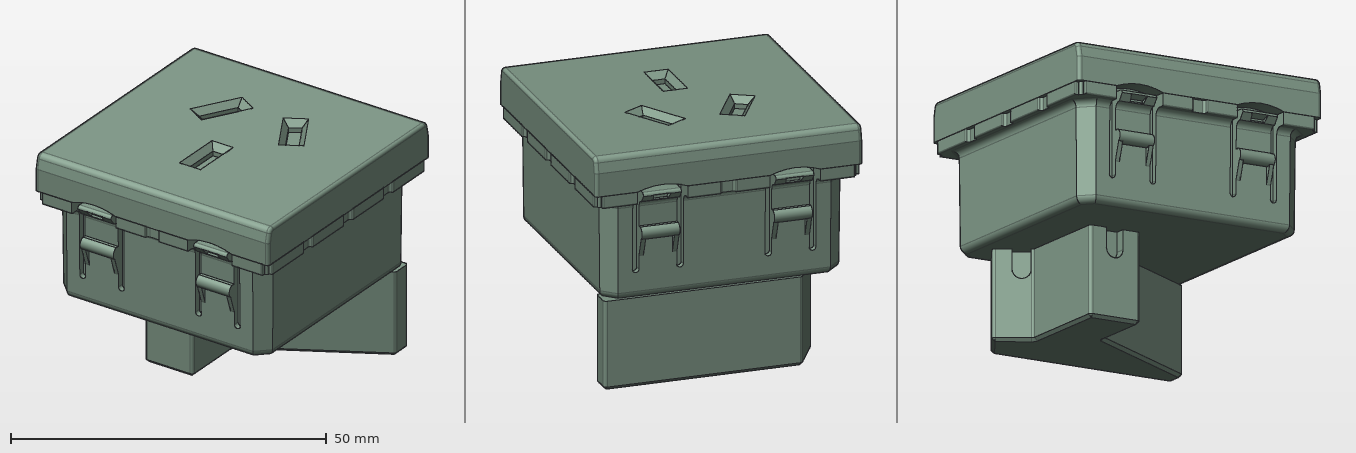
import cadquery as cq
import math

HEIGHT = 40.4
SKIRT_BOTTOM = 15.08
FLANGE_BOTTOM = 31.8
LID_BOTTOM = 33.95

LID_HALF = 22.5
LID_SIDE_ROUND = 0.6
BEVEL_START = 37.9
BEVEL_TOP_HALF = 21.95
LID_FRONT_ROUND = 1.05

FLANGE_HALF = 22.4
CORE_HALF = 21.75
CORE_CORNER_ROUND = 0.35
CORNER_NOTCH = 1.2
NOTCH_HALF_WIDTH = 1.25
NOTCH_ROOT_ROUND = 0.4
BLOCK_END_ROUND = 0.2
CLIP_X = 11.15

SKIRT_TOP_HALF = 20.3
SKIRT_BOTTOM_HALF = 20.1
SKIRT_CORNER_CHAMFER = 2.35
SKIRT_NECK_ROUND = 1.12
SKIRT_BOTTOM_ROUND = 1.15

TONGUE_HALF = 3.2
CLIP_HALF = 4.28
POCKET_FLOOR = 19.12
POCKET_ARCH_TOP = 34.75
CLIP_SLOT_BOTTOM = 19.45
LIP_TOP = 33.52
LIP_TIP = 22.3
LIP_ROUND = 0.55
LIP_RECESS_TOP = 33.05
LIP_RECESS_FLOOR_TOP = 32.55
LIP_RECESS_BOTTOM = 32.0
LIP_RECESS_TOP_HALF = 1.5
LIP_RECESS_BOTTOM_HALF = 1.25
LIP_RECESS_FLOOR = 20.92
BARB_TOP = 27.3
BARB_TIP = 21.6
BARB_ROUND = 0.75
BARB_BAR_BOTTOM = 25.2
GUSSET_BOTTOM = 22.0
GUSSET_WIDTH = 0.75

PIN_LENGTH = 9.1
PIN_WIDTH = 4.05
PIN_TAPER_DEPTH = 1.12
PIN_INNER_LENGTH = 6.85
PIN_INNER_WIDTH = 2.15
PIN_INNER_DEPTH = 0.8
EARTH_Y = -7.25
LIVE_X = 6.95
LIVE_Y = 7.05
LIVE_TILT = 30

LEG_LEFT = -11.5
LEG_RIGHT = -2.25
LEG_FRONT = -7.75
WING_ROOT_Y = 9.65
WING_TILT = 30
WING_LENGTH = 6.6
BLOCK_BACK = 19.9
BLOCK_RIGHT = 20.1
RIGHT_WING_ROOT_Y = 3.6
BLOCK_EDGE_ROUND = 0.55
BLOCK_BOTTOM_CHAMFER = 0.55
WINDOW_WIDTH = 3.0
WINDOW_BOTTOM = 10.25
WINDOW_DEPTH = 1.8
LEG_WINDOW_X = -6.98
WING_WINDOW_OFFSET = 1.9


def make_lid():
    side_profile = [
        (-LID_HALF, LID_BOTTOM),
        (LID_HALF, LID_BOTTOM),
        (LID_HALF, BEVEL_START),
        (BEVEL_TOP_HALF, HEIGHT),
        (-BEVEL_TOP_HALF, HEIGHT),
        (-LID_HALF, BEVEL_START),
    ]
    lid = cq.Workplane("YZ").polyline(side_profile).close().extrude(LID_HALF, both=True)
    lid = lid.faces(">Z").edges("|X").fillet(LID_FRONT_ROUND)
    return lid.faces("<X or >X").edges("not <Z").fillet(LID_SIDE_ROUND)


def make_flange():
    height = LID_BOTTOM - FLANGE_BOTTOM
    base = cq.Workplane("XY", origin=(0, 0, FLANGE_BOTTOM))
    flange = base.rect(2 * FLANGE_HALF, 2 * FLANGE_HALF).extrude(height)

    corners = base.rect(2 * FLANGE_HALF, 2 * FLANGE_HALF, forConstruction=True).vertices()
    flange = flange.cut(corners.rect(2 * CORNER_NOTCH, 2 * CORNER_NOTCH).extrude(height))

    notch = (
        base.rect(2 * NOTCH_HALF_WIDTH, 2 * (LID_HALF - CORE_HALF)).extrude(height)
        .edges("|Z").fillet(NOTCH_ROOT_ROUND)
        .translate((0, -LID_HALF, 0))
    )
    notches = [(0, 0), (180, 0)]
    notches += [(side, along) for side in (90, 270) for along in (-CLIP_X, 0, CLIP_X)]
    for side, along in notches:
        cutter = notch.translate((along, 0, 0)).rotate((0, 0, 0), (0, 0, 1), side)
        flange = flange.cut(cutter)
    for side in ("<X", ">X", "<Y", ">Y"):
        flange = flange.faces(side).edges("not >Z").fillet(BLOCK_END_ROUND)

    core = base.rect(2 * CORE_HALF, 2 * CORE_HALF).extrude(height)
    return flange.union(core.edges("|Z").fillet(CORE_CORNER_ROUND))


def make_skirt():
    height = FLANGE_BOTTOM - SKIRT_BOTTOM
    draft = math.degrees(math.atan((SKIRT_TOP_HALF - SKIRT_BOTTOM_HALF) / height))
    return (
        cq.Workplane("XY", origin=(0, 0, FLANGE_BOTTOM))
        .sketch().rect(2 * SKIRT_TOP_HALF, 2 * SKIRT_TOP_HALF)
        .vertices().chamfer(SKIRT_CORNER_CHAMFER).finalize()
        .extrude(-height, taper=draft)
        .faces("<Z").edges().fillet(SKIRT_BOTTOM_ROUND)
    )


def round_neck(shell):
    """Round the inner corner between the skirt and the flange underside."""
    margin = 0.05
    reach = SKIRT_TOP_HALF + margin
    neck = cq.selectors.BoxSelector(
        (-reach, -reach, FLANGE_BOTTOM - margin), (reach, reach, FLANGE_BOTTOM + margin)
    )
    return shell.edges(neck).fillet(SKIRT_NECK_ROUND)


def make_clip_pocket():
    """U-shaped pocket of one -Y clip: an arched head and a slot down each side of the tongue."""
    plane = cq.Workplane("XZ", origin=(0, -POCKET_FLOOR, 0))
    depth = LID_HALF - POCKET_FLOOR
    slot_width = CLIP_HALF - TONGUE_HALF
    head = (
        plane.moveTo(-CLIP_HALF, FLANGE_BOTTOM)
        .lineTo(-CLIP_HALF, LID_BOTTOM)
        .threePointArc((0, POCKET_ARCH_TOP), (CLIP_HALF, LID_BOTTOM))
        .lineTo(CLIP_HALF, FLANGE_BOTTOM)
        .close().extrude(depth)
    )
    slot_height = FLANGE_BOTTOM - CLIP_SLOT_BOTTOM
    slots = (
        plane.pushPoints([(side * (CLIP_HALF + TONGUE_HALF) / 2, FLANGE_BOTTOM) for side in (-1, 1)])
        .slot2D(2 * slot_height, slot_width, 90).extrude(depth)
    )
    below_flange = plane.rect(4 * CLIP_HALF, 2 * FLANGE_BOTTOM).extrude(depth)
    return head.union(slots.intersect(below_flange))


def make_lip():
    """Lip that flares out of the tongue's top and has a rounded nose and a recessed underside."""
    half_round = LIP_ROUND * math.sqrt(0.5)
    round_y = -LIP_TIP + LIP_ROUND
    round_z = LIP_TOP - LIP_ROUND
    lip = (
        cq.Workplane("YZ").moveTo(-POCKET_FLOOR, FLANGE_BOTTOM)
        .lineTo(-POCKET_FLOOR, LIP_TOP)
        .lineTo(round_y, LIP_TOP)
        .threePointArc((round_y - half_round, round_z + half_round), (-LIP_TIP, round_z))
        .lineTo(-SKIRT_TOP_HALF - SKIRT_NECK_ROUND, FLANGE_BOTTOM)
        .close().extrude(TONGUE_HALF, both=True)
    )
    return lip.cut(make_lip_recess())


def make_lip_recess():
    """Shallow trapezium pocket in the underside of the lip, with a sloping ceiling."""
    side_outline = [
        (-LIP_RECESS_FLOOR, LIP_RECESS_BOTTOM),
        (-LIP_RECESS_FLOOR, LIP_RECESS_FLOOR_TOP),
        (-LIP_TIP, LIP_RECESS_TOP),
        (-LIP_TIP, LIP_RECESS_BOTTOM),
    ]
    front_outline = [
        (-LIP_RECESS_TOP_HALF, LIP_RECESS_TOP),
        (LIP_RECESS_TOP_HALF, LIP_RECESS_TOP),
        (LIP_RECESS_BOTTOM_HALF, LIP_RECESS_BOTTOM),
        (-LIP_RECESS_BOTTOM_HALF, LIP_RECESS_BOTTOM),
    ]
    depth_shape = cq.Workplane("YZ").polyline(side_outline).close().extrude(TONGUE_HALF, both=True)
    width_shape = cq.Workplane("XZ").polyline(front_outline).close().extrude(LID_HALF)
    return depth_shape.intersect(width_shape)


def make_barb():
    """Catch on the tongue: a rounded cross bar carried by a gusset at each end."""
    root_y = -POCKET_FLOOR
    round_y = -BARB_TIP + BARB_ROUND
    round_z = BARB_TOP - BARB_ROUND
    bar = (
        cq.Workplane("YZ").moveTo(root_y, BARB_TOP)
        .lineTo(round_y, BARB_TOP)
        .threePointArc((-BARB_TIP, round_z), (-SKIRT_BOTTOM_HALF, BARB_BAR_BOTTOM))
        .lineTo(root_y, BARB_BAR_BOTTOM)
        .close().extrude(TONGUE_HALF, both=True)
    )
    gusset = (
        cq.Workplane("YZ", origin=(-TONGUE_HALF, 0, 0)).moveTo(root_y, round_z)
        .lineTo(-BARB_TIP, round_z)
        .lineTo(-SKIRT_BOTTOM_HALF, GUSSET_BOTTOM)
        .lineTo(root_y, GUSSET_BOTTOM)
        .close().extrude(GUSSET_WIDTH)
    )
    return bar.union(gusset).union(gusset.mirror("YZ"))


def add_clips(shell):
    pocket = make_clip_pocket()
    catch = make_lip().union(make_barb())
    for turn in (0, 180):
        for x in (-CLIP_X, CLIP_X):
            shell = shell.cut(pocket.translate((x, 0, 0)).rotate((0, 0, 0), (0, 0, 1), turn))
            shell = shell.union(catch.translate((x, 0, 0)).rotate((0, 0, 0), (0, 0, 1), turn))
    return shell


def make_pin_opening():
    """Tapered mouth with a straight-sided recess at its foot, long side along Y."""
    mouth = (
        cq.Workplane("XY", origin=(0, 0, HEIGHT)).rect(PIN_WIDTH, PIN_LENGTH)
        .workplane(offset=-PIN_TAPER_DEPTH).rect(PIN_INNER_WIDTH, PIN_INNER_LENGTH)
        .loft(ruled=True)
    )
    recess = (
        cq.Workplane("XY", origin=(0, 0, HEIGHT - PIN_TAPER_DEPTH))
        .rect(PIN_INNER_WIDTH, PIN_INNER_LENGTH).extrude(-PIN_INNER_DEPTH)
    )
    return mouth.union(recess)


def cut_pin_openings(shell):
    opening = make_pin_opening()
    for x, y, tilt in ((0, EARTH_Y, 0), (-LIVE_X, LIVE_Y, -LIVE_TILT), (LIVE_X, LIVE_Y, LIVE_TILT)):
        shell = shell.cut(opening.rotate((0, 0, 0), (0, 0, 1), tilt).translate((x, y, 0)))
    return shell


def make_housing():
    housing = round_neck(make_flange().union(make_skirt()))
    housing = housing.union(make_lid())
    housing = add_clips(housing)
    return cut_pin_openings(housing)


def make_window():
    """Round-bottomed window cutter, opening towards -Y from the plane y = 0."""
    rise = SKIRT_BOTTOM - WINDOW_BOTTOM
    return (
        cq.Workplane("XZ").center(0, SKIRT_BOTTOM)
        .slot2D(2 * rise, WINDOW_WIDTH, 90).extrude(-WINDOW_DEPTH)
    )


def make_terminal_block():
    tilt = math.radians(WING_TILT)
    wing_x = LEG_LEFT - WING_LENGTH * math.cos(tilt)
    wing_y = WING_ROOT_Y + WING_LENGTH * math.sin(tilt)
    back_x = wing_x + (BLOCK_BACK - wing_y) * math.tan(tilt)
    right_wing_y = RIGHT_WING_ROOT_Y + (BLOCK_RIGHT - LEG_RIGHT) * math.tan(tilt)
    outline = [
        (LEG_LEFT, LEG_FRONT),
        (LEG_RIGHT, LEG_FRONT),
        (LEG_RIGHT, RIGHT_WING_ROOT_Y),
        (BLOCK_RIGHT, right_wing_y),
        (BLOCK_RIGHT, BLOCK_BACK),
        (back_x, BLOCK_BACK),
        (wing_x, wing_y),
        (LEG_LEFT, WING_ROOT_Y),
    ]
    block = (
        cq.Workplane("XY").polyline(outline).close().extrude(SKIRT_BOTTOM)
        .edges("|Z").fillet(BLOCK_EDGE_ROUND)
        .faces("<Z").edges().chamfer(BLOCK_BOTTOM_CHAMFER)
    )
    window = make_window()
    block = block.cut(window.translate((LEG_WINDOW_X, LEG_FRONT, 0)))
    wing_window = (
        window.translate((-WING_WINDOW_OFFSET, 0, 0))
        .rotate((0, 0, 0), (0, 0, 1), -WING_TILT)
        .translate((LEG_LEFT, WING_ROOT_Y, 0))
    )
    return block.cut(wing_window)


housing = make_housing()
terminal_block = make_terminal_block()
result = cq.Compound.makeCompound([housing.val(), terminal_block.val()])